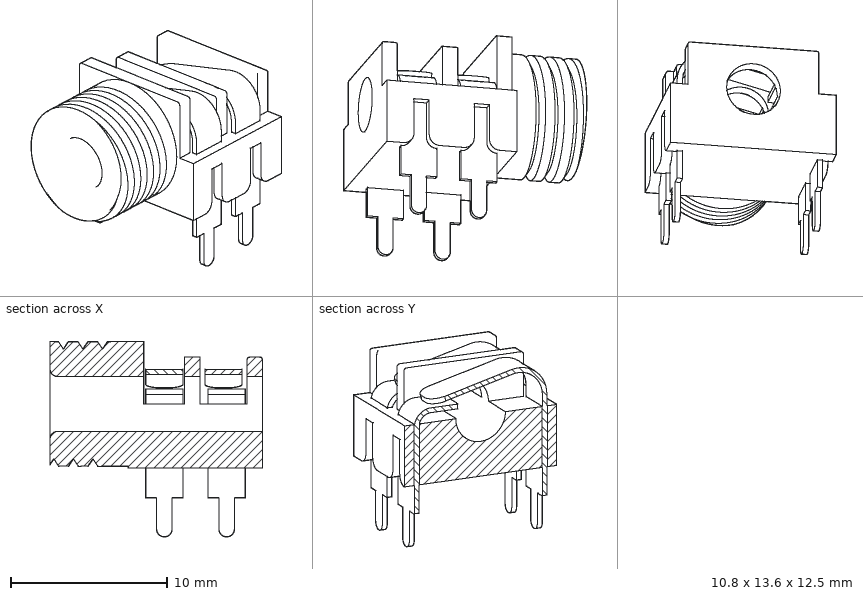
import cadquery as cq
import math


total_length = 13.6
total_height = 12.5

block_width = 10.8
block_length = 8.6
block_height = 4.11
wall_width = 8.5
wall_thickness = 1.0
front_wall_height = 4.0
rear_wall_height = 3.0
middle_wall_offset = 4.0
wall_edge_radius = 0.2

barrel_diameter = 8.0
barrel_length = total_length - block_length
bore_diameter = 3.5
bore_mouth_radius = 0.5
thread_pitch = 1.25
thread_depth = 0.48
thread_opening = 0.63
thread_start = 1.32
thread_lead_in = 45
groove_overlap = 0.07

strip_thickness = 0.35
strip_width = 2.4
post_outer_face = 4.72
pin_width = 1.0
shoulder_level = -6.0
pin_tip_level = front_wall_height - total_height

spring_top = 2.82
spring_bend_radius = 2.04
spring_slope = 13.7
spring_tip = -3.51
spring_tip_radius = 0.99

arm_top = 0.97
arm_bend_radius = 1.21
arm_tip = -1.6

slot_top = -1.1
slot_flare_radius = (strip_width - pin_width) / 2

front_contact_y = block_length - 6.28
rear_spring_y = block_length - 2.5
rear_arm_y = block_length - 2.3
spring_places = [front_contact_y, rear_spring_y]
arm_places = [front_contact_y, rear_arm_y]


def wall(rear_y, height):
    """Plain upright wall standing on the block."""
    body = cq.Workplane("XY").box(wall_width, wall_thickness, height, centered=(True, False, False))
    return body.translate((0, rear_y - wall_thickness, 0))


def extrude_strip(profile, centre_y):
    """Extrude an XZ profile to the strip width, centred on centre_y."""
    return profile.extrude(strip_width / 2, both=True).translate((0, centre_y, 0))


def pin(low_x, centre_y):
    """Narrow solder pin with a round tip, below the strip shoulders, from low_x towards +X."""
    radius = pin_width / 2
    return (
        cq.Workplane("YZ", origin=(low_x, centre_y, 0))
        .moveTo(-radius, shoulder_level)
        .lineTo(-radius, pin_tip_level + radius)
        .threePointArc((0, pin_tip_level), (radius, pin_tip_level + radius))
        .lineTo(radius, shoulder_level)
        .close()
        .extrude(strip_thickness)
    )


def spring_contact(centre_y):
    """Contact on the +X side: pin, post, bend and a spring sloping down to -X."""
    centre_x = post_outer_face - spring_bend_radius
    centre_z = spring_top - spring_bend_radius
    inner_radius = spring_bend_radius - strip_thickness
    slope = math.radians(spring_slope)
    spring_angle = math.pi / 2 + slope

    def on_bend(radius, angle):
        return (centre_x + radius * math.cos(angle), centre_z + radius * math.sin(angle))

    bend_end = on_bend(spring_bend_radius, spring_angle)
    inner_bend_end = on_bend(inner_radius, spring_angle)
    run = bend_end[0] - spring_tip
    drop = run * math.tan(slope)
    profile = (
        cq.Workplane("XZ")
        .moveTo(post_outer_face, shoulder_level)
        .lineTo(post_outer_face, centre_z)
        .threePointArc(on_bend(spring_bend_radius, spring_angle / 2), bend_end)
        .lineTo(bend_end[0] - run, bend_end[1] - drop)
        .lineTo(inner_bend_end[0] - run, inner_bend_end[1] - drop)
        .lineTo(*inner_bend_end)
        .threePointArc(on_bend(inner_radius, spring_angle / 2), (centre_x + inner_radius, centre_z))
        .lineTo(centre_x + inner_radius, shoulder_level)
        .close()
    )
    strip = extrude_strip(profile, centre_y)
    strip = strip.faces("<X").edges("not |Y").fillet(spring_tip_radius)
    return strip.union(pin(post_outer_face - strip_thickness, centre_y))


def arm_contact(centre_y):
    """Contact on the -X side: pin, post, bend and a level arm under the spring tip."""
    centre_x = arm_bend_radius - post_outer_face
    centre_z = arm_top - arm_bend_radius
    inner_radius = arm_bend_radius - strip_thickness
    diagonal = math.sqrt(0.5)
    outer_middle = (centre_x - arm_bend_radius * diagonal, centre_z + arm_bend_radius * diagonal)
    inner_middle = (centre_x - inner_radius * diagonal, centre_z + inner_radius * diagonal)
    profile = (
        cq.Workplane("XZ")
        .moveTo(-post_outer_face, shoulder_level)
        .lineTo(-post_outer_face, centre_z)
        .threePointArc(outer_middle, (centre_x, arm_top))
        .lineTo(arm_tip, arm_top)
        .lineTo(arm_tip, arm_top - strip_thickness)
        .lineTo(centre_x, arm_top - strip_thickness)
        .threePointArc(inner_middle, (centre_x - inner_radius, centre_z))
        .lineTo(centre_x - inner_radius, shoulder_level)
        .close()
    )
    return extrude_strip(profile, centre_y).union(pin(-post_outer_face, centre_y))


def side_slot(low_x, centre_y):
    """Cutter for a slot between a post face and the block side, from low_x towards +X."""
    half = pin_width / 2
    flared_half = half + slot_flare_radius
    flare_start = slot_flare_radius - block_height
    bulge = slot_flare_radius * (1 - math.sqrt(0.5))
    flare_middle = (half + bulge, bulge - block_height)
    return (
        cq.Workplane("YZ", origin=(low_x, centre_y, 0))
        .moveTo(-half, slot_top)
        .lineTo(half, slot_top)
        .lineTo(half, flare_start)
        .threePointArc(flare_middle, (flared_half, -block_height))
        .lineTo(-flared_half, -block_height)
        .threePointArc((-flare_middle[0], flare_middle[1]), (-half, flare_start))
        .close()
        .extrude(block_width / 2 - post_outer_face)
    )


def thread_groove():
    """Right-handed V groove cutter that winds along the barrel and runs out of its front."""
    barrel_radius = barrel_diameter / 2
    helix_start = thread_start - thread_pitch * thread_lead_in / 360
    height = barrel_length - helix_start + thread_opening / 2 + groove_overlap
    path = cq.Wire.makeHelix(thread_pitch, height, barrel_radius)
    outer_half = thread_opening / 2 * (thread_depth + groove_overlap) / thread_depth
    groove = (
        cq.Workplane("XZ")
        .moveTo(barrel_radius - thread_depth, 0)
        .lineTo(barrel_radius + groove_overlap, outer_half)
        .lineTo(barrel_radius + groove_overlap, -outer_half)
        .close()
        .sweep(cq.Workplane(obj=path), isFrenet=True)
    )
    groove = groove.rotate((0, 0, 0), (0, 0, 1), -thread_lead_in)
    return groove.rotate((0, 0, 0), (1, 0, 0), 90).translate((0, -helix_start, 0))


def threaded_barrel():
    """Round barrel in front of the block, with its thread groove."""
    barrel = cq.Workplane("XZ").circle(barrel_diameter / 2).extrude(barrel_length)
    return barrel.cut(thread_groove())


def walls():
    """Front, middle and rear walls; the rear one is rounded all round its top."""
    front = wall(wall_thickness, front_wall_height)
    middle = wall(block_length - middle_wall_offset, rear_wall_height)
    rear = wall(block_length, rear_wall_height)
    front = front.faces(">Z").edges("|Y").fillet(wall_edge_radius)
    middle = middle.faces(">Z").edges("|Y").fillet(wall_edge_radius)
    rear = rear.faces(">Z").edges().fillet(wall_edge_radius)
    return [front, middle, rear]


def plug_bore():
    """Cutter for the through bore with its rounded mouth."""
    bore_radius = bore_diameter / 2
    mouth_radius = bore_radius + bore_mouth_radius
    bulge = bore_mouth_radius * (1 - math.sqrt(0.5))
    return (
        cq.Workplane("XY")
        .moveTo(0, -barrel_length)
        .lineTo(mouth_radius, -barrel_length)
        .threePointArc(
            (bore_radius + bulge, bulge - barrel_length),
            (bore_radius, bore_mouth_radius - barrel_length),
        )
        .lineTo(bore_radius, block_length)
        .lineTo(0, block_length)
        .close()
        .revolve(360, (0, 0, 0), (0, 1, 0))
    )


def make_housing(fitted_contacts):
    """Block, walls and barrel in one, with the bore, the side slots and the contact slits."""
    block = cq.Workplane("XY").box(block_width, block_length, block_height, centered=(True, False, False))
    body = block.translate((0, 0, -block_height)).union(threaded_barrel())
    for upright in walls():
        body = body.union(upright)
    body = body.cut(plug_bore())
    for centre_y in spring_places:
        body = body.cut(side_slot(post_outer_face, centre_y))
    for centre_y in arm_places:
        body = body.cut(side_slot(-block_width / 2, centre_y))
    for contact in fitted_contacts:
        body = body.cut(contact)
    return body


spring_contacts = [spring_contact(centre_y) for centre_y in spring_places]
arm_contacts = [arm_contact(centre_y) for centre_y in arm_places]
contacts = spring_contacts + arm_contacts
housing = make_housing(contacts)

result = cq.Compound.makeCompound([body.solids().val() for body in [housing, *contacts]])